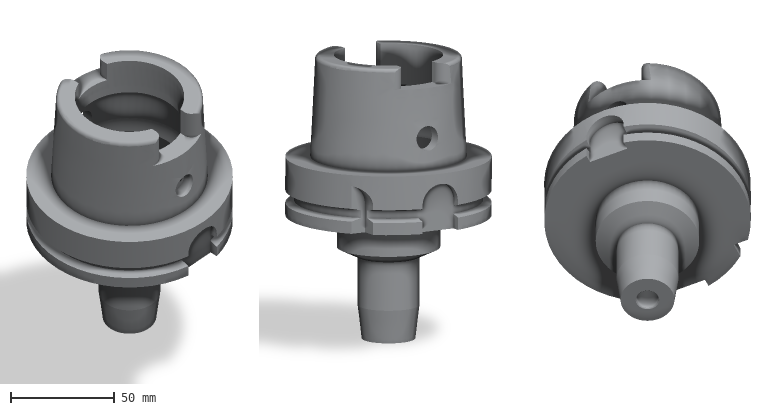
import cadquery as cq
import math

total_height = 140.0
nose_cone_top = 16.5
nose_top = 40.5
boss_bottom = 45.2
flange_bottom = 61.0
groove_bottom_edge = 67.0
groove_floor_bottom = 68.3
groove_floor_top = 72.1
groove_top_edge = 73.4
flange_top = 90.0

nose_tip_radius = 13.0
nose_radius = 15.0
boss_radius = 25.0
flange_radius = 50.0
groove_radius = 45.8
shank_base_radius = 38.0
shank_top_radius = shank_base_radius - (total_height - flange_top) / 20
shank_rim_fillet = 2.0

mouth_radius = 26.5
mouth_depth = 20.0
undercut_radius = 31.5
undercut_slope = 60.0
lower_radius = 26.9
ledge_top = 99.4
ledge_fillet = undercut_radius - lower_radius
cavity_floor = 77.0
thread_bore_radius = 12.2
thread_bore_depth = 20.0
coolant_radius = 5.3
coolant_chamfer = 0.4

slot_half_width = 10.0
horn_corner_radius = 4.8
horn_reach = 32.0
left_slot_floor = 129.8
right_slot_floor = 125.0

cross_hole_radius = 6.0
cross_hole_height = 105.1

keyway_radius = 10.0
keyway_top = 85.0
keyway_floor = 44.8
notch_floor = 31.0
notch_offset = 41.6


def make_body():
    """Turned outside shape with a rounded rim."""
    profile = [
        (0, 0),
        (nose_tip_radius, 0),
        (nose_radius, nose_cone_top),
        (nose_radius, nose_top),
        (boss_radius, boss_bottom),
        (boss_radius, flange_bottom),
        (flange_radius, flange_bottom),
        (flange_radius, groove_bottom_edge),
        (groove_radius, groove_floor_bottom),
        (groove_radius, groove_floor_top),
        (flange_radius, groove_top_edge),
        (flange_radius, flange_top),
        (shank_base_radius, flange_top),
        (shank_top_radius, total_height),
        (0, total_height),
    ]
    body = cq.Workplane("XZ").polyline(profile).close().revolve(360, (0, 0), (0, 1))
    return body.faces(">Z").edges().fillet(shank_rim_fillet)


def make_cavity():
    """Stepped bore: mouth, wider undercut, lower bore, thread bore and coolant hole."""
    mouth_bottom = total_height - mouth_depth
    slope_height = (undercut_radius - mouth_radius) / math.tan(math.radians(undercut_slope))
    thread_bore_floor = cavity_floor - thread_bore_depth
    arc_inset = ledge_fillet * (1 - math.sqrt(0.5))
    arc_mid = (undercut_radius - arc_inset, ledge_top - ledge_fillet + arc_inset)
    return (
        cq.Workplane("XZ")
        .lineTo(coolant_radius + coolant_chamfer, 0)
        .lineTo(coolant_radius, coolant_chamfer)
        .lineTo(coolant_radius, thread_bore_floor)
        .lineTo(thread_bore_radius, thread_bore_floor)
        .lineTo(thread_bore_radius, cavity_floor)
        .lineTo(lower_radius, cavity_floor)
        .lineTo(lower_radius, ledge_top - ledge_fillet)
        .threePointArc(arc_mid, (undercut_radius, ledge_top))
        .lineTo(undercut_radius, mouth_bottom - slope_height)
        .lineTo(mouth_radius, mouth_bottom)
        .lineTo(mouth_radius, total_height)
        .lineTo(0, total_height)
        .close()
        .revolve(360, (0, 0), (0, 1))
    )


def make_drive_slot(side, floor):
    """Slot toward side * X that leaves round-cornered horns on the rim."""
    corner_start = horn_reach - horn_corner_radius
    corner_end = slot_half_width + horn_corner_radius
    arc_inset = horn_corner_radius * (1 - math.sqrt(0.5))
    arc_mid = (side * (horn_reach - arc_inset), slot_half_width + arc_inset)
    slot = (
        cq.Workplane("XY", origin=(0, 0, floor))
        .moveTo(0, 0)
        .lineTo(0, slot_half_width)
        .lineTo(side * corner_start, slot_half_width)
        .threePointArc(arc_mid, (side * horn_reach, corner_end))
        .lineTo(side * horn_reach, flange_radius)
        .lineTo(side * flange_radius, flange_radius)
        .lineTo(side * flange_radius, 0)
        .close()
        .extrude(total_height - floor)
    )
    return slot.union(slot.mirror("XZ"))


def make_keyway(side, floor, offset):
    """Round-topped cut from a flat floor outward along side * X, open below."""
    arch_center = keyway_top - keyway_radius
    return (
        cq.Workplane("YZ", origin=(side * floor, 0, 0))
        .moveTo(offset - keyway_radius, flange_bottom)
        .lineTo(offset - keyway_radius, arch_center)
        .threePointArc((offset, keyway_top), (offset + keyway_radius, arch_center))
        .lineTo(offset + keyway_radius, flange_bottom)
        .close()
        .extrude(side * flange_radius)
    )


cross_hole = (
    cq.Workplane("YZ", origin=(0, 0, cross_hole_height))
    .circle(cross_hole_radius)
    .extrude(flange_radius, both=True)
)

result = make_body().cut(make_cavity()).cut(cross_hole)
for side, slot_floor in ((-1, left_slot_floor), (1, right_slot_floor)):
    result = result.cut(make_drive_slot(side, slot_floor))
    result = result.cut(make_keyway(side, keyway_floor, 0))
result = result.cut(make_keyway(-1, notch_floor, notch_offset))